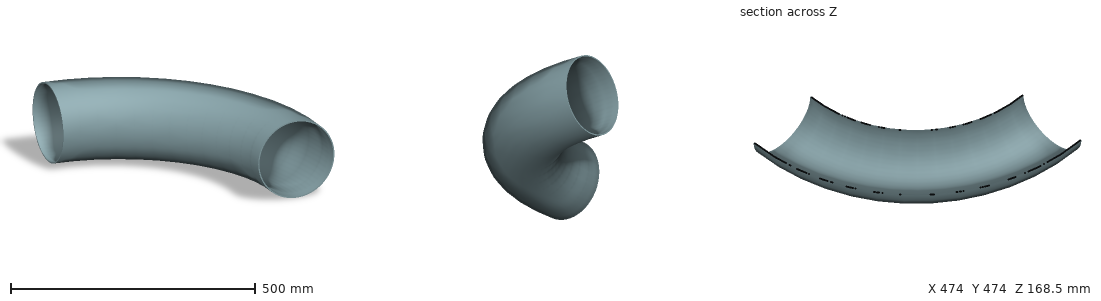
import cadquery as cq

reach = 474.0
outer_diameter = 168.5
wall = 2.6
bend_angle = 90.0

outer_radius = outer_diameter / 2
inner_radius = outer_radius - wall
bend_radius = reach - outer_radius

end_ring = (
    cq.Workplane("XZ", origin=(reach, 0, 0))
    .center(-bend_radius, 0)
    .circle(outer_radius)
    .circle(inner_radius)
)

axis_start = (bend_radius, 0)
axis_end = (bend_radius, -1)
result = end_ring.revolve(bend_angle, axis_start, axis_end)